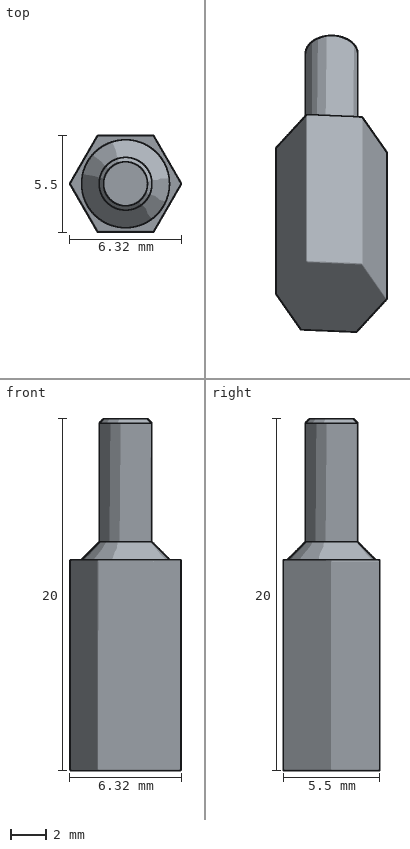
import cadquery as cq
import math

across_flats = 5.5
body_height = 12.0
edge_radius = 0.1

shoulder_diameter = 5.0
shoulder_height = 1.0

stud_diameter = 3.0
total_height = 20.0
tip_chamfer = 0.25


def hex_body():
    across_corners = across_flats / math.cos(math.radians(30))
    prism = cq.Workplane("XY").polygon(6, across_corners).extrude(body_height)
    return prism.edges().fillet(edge_radius)


def shoulder_and_stud():
    """Revolve the half profile of the cone and stud, starting inside the body."""
    shoulder_radius = shoulder_diameter / 2
    stud_radius = stud_diameter / 2
    root_z = body_height / 2
    shoulder_top_z = body_height + shoulder_height
    half_profile = (
        cq.Workplane("XZ")
        .moveTo(0, root_z)
        .lineTo(shoulder_radius, root_z)
        .lineTo(shoulder_radius, body_height)
        .lineTo(stud_radius, shoulder_top_z)
        .lineTo(stud_radius, total_height - tip_chamfer)
        .lineTo(stud_radius - tip_chamfer, total_height)
        .lineTo(0, total_height)
        .close()
    )
    return half_profile.revolve(360, (0, 0), (0, 1))


result = hex_body().union(shoulder_and_stud())